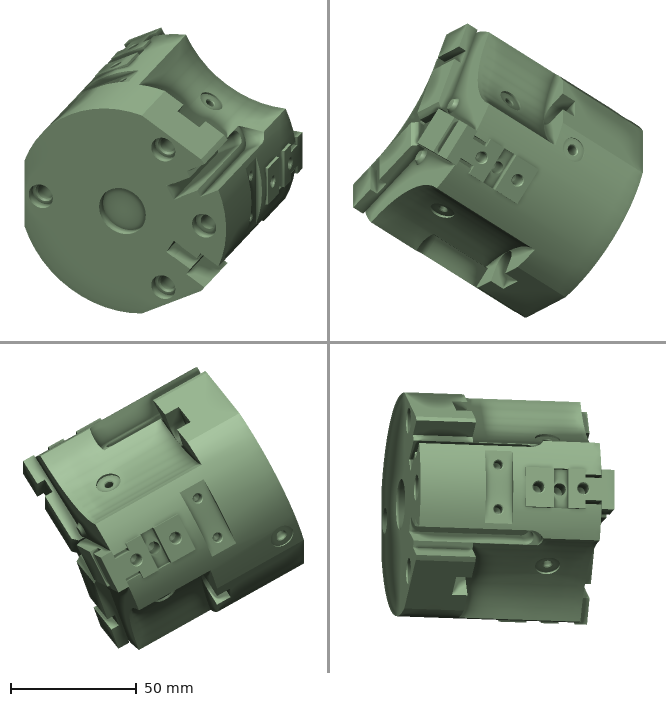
import cadquery as cq
import math


body_radius = 44.5
jaw_face = 45.0
jaw_angles = [0, 120, 240]
side_angles = [60, 180, 300]
outside = 53.4

body_top = 66.5
cover_top = 73.1
total_height = 78.0

flat_distance = 42.0
scallop_radius = 44.5
scallop_center = 74.0
scallop_floors = {60: 24.0, 180: 40.05, 300: 24.0}
pocket_depth = 6.2
pocket_radius = 5.4

jaw_half_width = 8.0
jaw_neck_half_width = 4.5
cover_slot_half_width = 6.0
jaw_bottom = 42.45
jaw_end = 5.2
end_chamfer_size = 2.1
key_slot_inner = 27.9
key_slot_outer = 33.9
key_slot_depth = 3.5
face_groove_depth = 3.5
face_groove_bottom = 53.7
face_groove_top = 59.5
jaw_hole_spacing = 9.0
jaw_hole_diameter = 4.45
jaw_hole_depth = 8.9
groove_hole_diameter = 5.0

seat_angles = [0, 120]
seat_bottom = 26.3
seat_top = 37.4
seat_middle = (seat_bottom + seat_top) / 2
seat_hole_offset = 9.0
seat_hole_diameter = 3.6
seat_hole_depth = 5.3

bolt_radius = 35.1
bolt_bore_diameter = 6.4
bolt_chamfer = 0.7
base_recess_diameter = 10.3
base_recess_depth = 4.0
blind_hole_diameter = 6.2
blind_hole_depth = 14.2
center_recess_diameter = 20.0
center_recess_depth = 4.0

cable_angles = [30, -30]
cable_end = 45.1
cable_slot_half_width = 6.0
cable_slot_floor = 35.2
cable_groove_half_width = 3.0
cable_groove_floor = 23.6
cable_relief_half_width = 3.2
cable_relief_top = 27.1

spot_diameter = 10.0
spot_depth = 0.7
port_diameter = 4.1
port_depth = 10.7
side_port_height = 56.6
side_port_diameter = 3.4
low_port_height = 8.0
low_port_angle = 150
mid_port_height = seat_middle
mid_port_angle = 210

button_place = 13.9
button_base_radius = 3.5
button_top_radius = 2.2
button_height = 1.5

drill_tip_angle = 118.0
hole_chamfer = 0.4


def turned(shape, angle):
    """Turn a shape about the gripper axis, from +X towards +Z."""
    return shape.rotate((0, 0, 0), (0, -1, 0), angle)


def block(inner, outer, half_width, bottom, top):
    """A box from radius `inner` to `outer`, centred on the XY plane."""
    box = cq.Workplane("XY").box(outer - inner, top - bottom, 2 * half_width, centered=(False, False, True))
    return box.translate((inner, bottom, 0))


def post(x, bottom, top, diameter):
    """A round bar along the axis direction."""
    return cq.Workplane("XZ", origin=(x, bottom, 0)).circle(diameter / 2).extrude(bottom - top)


def cone_along(start, direction, base_radius, top_radius, height):
    cone = cq.Solid.makeCone(base_radius, top_radius, height, cq.Vector(*start), cq.Vector(*direction))
    return cq.Workplane("XY").add(cone)


def drill_point(start, direction, diameter):
    radius = diameter / 2
    return cone_along(start, direction, radius, 0, radius / math.tan(math.radians(drill_tip_angle / 2)))


def radial_hole(surface, height, offset, diameter, depth, chamfer=0.0):
    """A blind hole with a drill point, bored towards the axis, chamfered at its mouth if asked."""
    hole = cq.Workplane("YZ", origin=(outside, height, offset)).circle(diameter / 2)
    hole = hole.extrude(surface - depth - outside)
    hole = hole.union(drill_point((surface - depth, height, offset), (-1, 0, 0), diameter))
    if chamfer:
        radius = diameter / 2
        mouth = cone_along((surface, height, offset), (-1, 0, 0), radius + chamfer, radius, chamfer)
        hole = hole.union(mouth)
    return hole


def rounded_slot(floor, half_width):
    """A radial cut running up from the base to a round end."""
    end = cq.Workplane("YZ", origin=(floor, cable_end, 0)).circle(half_width).extrude(outside - floor)
    return block(floor, outside, half_width, 0, cable_end).union(end)


def end_chamfer():
    """Wedge removed from the top edge of the inner end of a jaw."""
    bottom = total_height - end_chamfer_size
    corners = [(jaw_end, total_height), (jaw_end + end_chamfer_size, total_height), (jaw_end, bottom)]
    wedge = cq.Workplane("XY").polyline(corners).close()
    return wedge.extrude(jaw_half_width, both=True)


def make_jaw():
    jaw = block(jaw_end, jaw_face, jaw_half_width, jaw_bottom, body_top)
    jaw = jaw.union(block(jaw_end, jaw_face, jaw_neck_half_width, body_top, cover_top))
    jaw = jaw.union(block(jaw_end, jaw_face, jaw_half_width, cover_top, total_height))
    jaw = jaw.cut(end_chamfer())
    key_floor = total_height - key_slot_depth
    jaw = jaw.cut(block(key_slot_inner, key_slot_outer, jaw_half_width, key_floor, total_height))
    groove_floor = jaw_face - face_groove_depth
    jaw = jaw.cut(block(groove_floor, outside, jaw_half_width, face_groove_bottom, face_groove_top))
    groove_middle = (face_groove_bottom + face_groove_top) / 2
    jaw = jaw.cut(radial_hole(groove_floor, groove_middle, 0, groove_hole_diameter, jaw_hole_depth))
    for side in (-1, 1):
        height = groove_middle + side * jaw_hole_spacing
        jaw = jaw.cut(radial_hole(jaw_face, height, 0, jaw_hole_diameter, jaw_hole_depth, hole_chamfer))
    return jaw


def side_cuts(angle):
    """Flat, scallop and screw pocket of one side."""
    floor = scallop_floors[angle]
    flat = block(flat_distance, outside, outside, 0, cover_top)
    scallop = post(scallop_center, floor, cover_top, 2 * scallop_radius)
    pocket = post(bolt_radius, floor - pocket_depth, floor, 2 * pocket_radius)
    pocket = pocket.union(block(bolt_radius, outside, pocket_radius, floor - pocket_depth, floor))
    return turned(flat.union(scallop).union(pocket), angle)


def bolt_hole(angle):
    """Chamfered bolt bore from the base recess up to the screw pocket."""
    top = scallop_floors[angle] - pocket_depth
    hole = post(bolt_radius, 0, top, bolt_bore_diameter)
    hole = hole.union(post(bolt_radius, 0, base_recess_depth, base_recess_diameter))
    mouth = cone_along((bolt_radius, base_recess_depth, 0), (0, 1, 0), bolt_bore_diameter / 2 + bolt_chamfer,
                       bolt_bore_diameter / 2, bolt_chamfer)
    hole = hole.union(mouth)
    return turned(hole, angle)


def blind_base_hole():
    """Recessed blind hole with a drill point, below the jaw at 0 degrees."""
    hole = post(bolt_radius, 0, base_recess_depth, base_recess_diameter)
    hole = hole.union(post(bolt_radius, 0, blind_hole_depth, blind_hole_diameter))
    return hole.union(drill_point((bolt_radius, blind_hole_depth, 0), (0, 1, 0), blind_hole_diameter))


def jaw_guide(angle):
    """Slot for one jaw, narrower where it passes through the cover."""
    slot = block(jaw_end, outside, jaw_half_width, jaw_bottom, body_top)
    return turned(slot.union(block(jaw_end, outside, cover_slot_half_width, body_top, cover_top)), angle)


def sensor_seat(angle):
    """Flat seat with two screw holes."""
    seat = block(flat_distance, outside, outside, seat_bottom, seat_top)
    for side in (-1, 1):
        seat = seat.union(radial_hole(flat_distance, seat_middle, side * seat_hole_offset,
                                      seat_hole_diameter, seat_hole_depth, hole_chamfer))
    return turned(seat, angle)


def cable_slot(angle):
    """Stepped slot, widest at the outside, with a slightly wider relief at the bottom."""
    slot = rounded_slot(cable_slot_floor, cable_slot_half_width)
    slot = slot.union(rounded_slot(cable_groove_floor, cable_groove_half_width))
    relief = rounded_slot(cable_groove_floor, cable_relief_half_width)
    relief = relief.intersect(block(0, cable_relief_top, outside, 0, cover_top))
    return turned(slot.union(relief), angle)


def air_port(surface, height, diameter, angle):
    """Round port in the middle of a shallow spot face."""
    spot = surface - spot_depth
    spot_face = cq.Workplane("YZ", origin=(spot, height, 0)).circle(spot_diameter / 2)
    spot_face = spot_face.extrude(outside - spot)
    port = radial_hole(spot, height, 0, diameter, port_depth, hole_chamfer)
    return turned(spot_face.union(port), angle)


def cover_button(angle):
    button = cone_along((button_place, cover_top, 0), (0, 1, 0), button_base_radius,
                        button_top_radius, button_height)
    return turned(button, angle)


def make_housing():
    housing = post(0, 0, cover_top, 2 * body_radius)
    scallop_bottom = scallop_center - scallop_radius
    for angle in side_angles:
        housing = housing.cut(side_cuts(angle))
        housing = housing.cut(bolt_hole(angle))
        housing = housing.cut(air_port(scallop_bottom, side_port_height, side_port_diameter, angle))
        housing = housing.union(cover_button(angle))
    for angle in jaw_angles:
        housing = housing.cut(jaw_guide(angle))
    for angle in seat_angles:
        housing = housing.cut(sensor_seat(angle))
    for angle in cable_angles:
        housing = housing.cut(cable_slot(angle))
    housing = housing.cut(air_port(body_radius, low_port_height, port_diameter, low_port_angle))
    housing = housing.cut(air_port(body_radius, mid_port_height, port_diameter, mid_port_angle))
    housing = housing.cut(blind_base_hole())
    return housing.cut(post(0, 0, center_recess_depth, center_recess_diameter))


housing = make_housing()
jaw = make_jaw()
jaws = [turned(jaw, angle) for angle in jaw_angles]

result = cq.Compound.makeCompound([housing.val(), *[each.val() for each in jaws]])